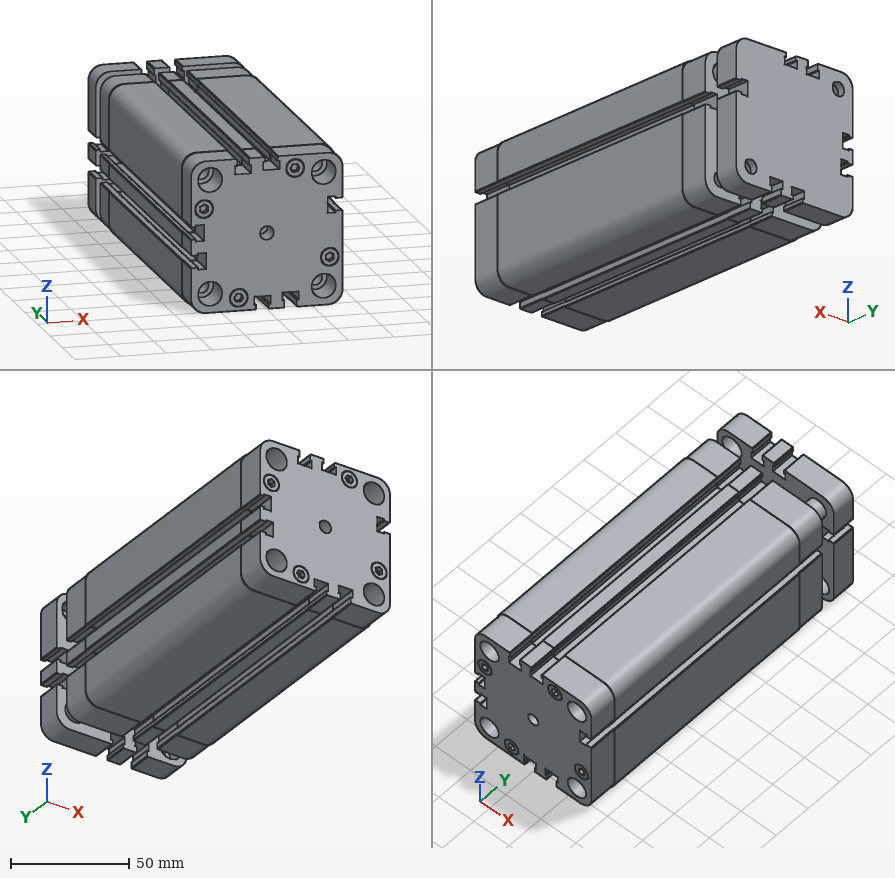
import cadquery as cq

total_length = 165.0
cap_length = 14.4
plate_thickness = 12.0
gap_length = 7.5
plate_start = total_length - plate_thickness
body_length = plate_start - gap_length
tube_length = body_length - 2 * cap_length

tube_width = 67.0
cap_width = 66.5
corner_radius = 6.6

slot_mouth_width = 5.5
slot_mouth_chamfer = 0.3
cap_slot_width = 7.1
tube_slot_width = 6.5
shallow_slot_offset = 2.0
shallow_slot_lip = 31.2
shallow_slot_floor = 27.5
deep_slot_offset = -10.4
deep_slot_lip = 30.2
deep_slot_floor = 26.5
tube_slot_floor_step = 0.2

mounting_offset = 24.9
mounting_hole_diameter = 6.6
mounting_recess_diameter = 10.5
plate_recess_diameter = 11.0
plate_recess_depth = 8.2

screw_offset_along = 12.4
screw_offset_out = 27.5
screw_recess_diameter = 8.0
screw_head_diameter = 7.5
screw_gap_depth = 5.0
socket_diameter = 4.0
socket_depth = 2.5

port_diameter = 6.0
port_depth = 9.9

guide_diameter = 10.0
guide_offset = 24.0
piston_diameter = 16.0
piston_flat_width = 13.0
piston_collar_length = 0.3
piston_end_taper_length = 1.5
piston_end_taper_height = 0.5


def y_plane(y):
    """Plane across the Y axis whose local axes are (X, Z)."""
    return cq.Workplane("XZ", origin=(0, y, 0))


def quarter_turned(shape, turns):
    """Turn a shape about the Y axis, carrying the +Z side to -X, -Z and then +X."""
    return shape.rotate((0, 0, 0), (0, 1, 0), -90 * turns)


def rounded_block(width, start, length):
    block = y_plane(start).rect(width, width).extrude(-length)
    return block.edges("|Y").fillet(corner_radius)


def cylinder(diameter, x, z, start, length):
    return y_plane(start).center(x, z).circle(diameter / 2).extrude(-length)


def t_slot(offset, lip, floor, inner_width, surface, start, length):
    """T-slot cutter for the +Z face at height surface, with a chamfered mouth."""
    mouth = slot_mouth_width / 2
    flare = mouth + slot_mouth_chamfer
    inner = inner_width / 2
    outline = [
        (offset - inner, floor),
        (offset + inner, floor),
        (offset + inner, lip),
        (offset + mouth, lip),
        (offset + mouth, surface - slot_mouth_chamfer),
        (offset + flare, surface),
        (offset - flare, surface),
        (offset - mouth, surface - slot_mouth_chamfer),
        (offset - mouth, lip),
        (offset - inner, lip),
    ]
    return y_plane(start).polyline(outline).close().extrude(-length)


def slotted_block(width, inner_width, floor_step, start, length):
    """Deep slot in all four faces, shallow slot in all but the +X face."""
    block = rounded_block(width, start, length)
    deep_slot = t_slot(deep_slot_offset, deep_slot_lip, deep_slot_floor + floor_step,
                       inner_width, width / 2, start, length)
    shallow_slot = t_slot(shallow_slot_offset, shallow_slot_lip, shallow_slot_floor + floor_step,
                          inner_width, width / 2, start, length)
    for turn in range(4):
        block = block.cut(quarter_turned(deep_slot, turn))
    for turn in range(3):
        block = block.cut(quarter_turned(shallow_slot, turn))
    return block


def cap_block(start, length):
    return slotted_block(cap_width, cap_slot_width, 0, start, length)


def tube_block(start, length):
    return slotted_block(tube_width, tube_slot_width, tube_slot_floor_step, start, length)


def head_screw():
    """Cutter for one head screw: clearance ring around the head plus its hexagon socket."""
    recess = cylinder(screw_recess_diameter, screw_offset_along, screw_offset_out, 0, screw_gap_depth)
    head = cylinder(screw_head_diameter, screw_offset_along, screw_offset_out, 0, screw_gap_depth)
    socket = (
        y_plane(0)
        .center(screw_offset_along, screw_offset_out)
        .polygon(6, socket_diameter)
        .extrude(-socket_depth)
    )
    return recess.cut(head).union(socket)


def piston_rod():
    """Round rod with two wrench flats on the X sides, ramped out at 45 degrees at their inner end."""
    radius = piston_diameter / 2
    half_flat = piston_flat_width / 2
    ramp_start = body_length + piston_collar_length
    flat_start = ramp_start + radius - half_flat
    profile = [
        (0, body_length),
        (radius, body_length),
        (radius, plate_start - piston_end_taper_length),
        (radius - piston_end_taper_height, plate_start),
        (0, plate_start),
    ]
    rod = cq.Workplane("XY").polyline(profile).close().revolve(360, (0, 0, 0), (0, 1, 0))
    envelope = (
        cq.Workplane("XY")
        .polyline([
            (-radius, body_length),
            (radius, body_length),
            (radius, ramp_start),
            (half_flat, flat_start),
            (half_flat, plate_start),
            (-half_flat, plate_start),
            (-half_flat, flat_start),
            (-radius, ramp_start),
        ])
        .close()
        .extrude(radius, both=True)
    )
    return rod.intersect(envelope)


tube_end = cap_length + tube_length
body = (
    cap_block(0, cap_length)
    .union(tube_block(cap_length, tube_length))
    .union(cap_block(tube_end, cap_length))
)
for side_x in (-1, 1):
    for side_z in (-1, 1):
        x = side_x * mounting_offset
        z = side_z * mounting_offset
        body = body.cut(cylinder(mounting_hole_diameter, x, z, 0, body_length))
        body = body.cut(cylinder(mounting_recess_diameter, x, z, 0, cap_length))
for turn in range(4):
    body = body.cut(quarter_turned(head_screw(), turn))
body = body.cut(cylinder(port_diameter, 0, 0, 0, port_depth))

plate = cap_block(plate_start, plate_thickness)
for side in (-1, 1):
    x = side * mounting_offset
    z = -side * mounting_offset
    plate = plate.cut(cylinder(mounting_hole_diameter, x, z, plate_start, plate_thickness))
    plate = plate.cut(cylinder(plate_recess_diameter, x, z, plate_start, plate_recess_depth))

result = body.union(plate).union(piston_rod())
for side in (-1, 1):
    offset = side * guide_offset
    result = result.union(cylinder(guide_diameter, offset, offset, body_length, gap_length))